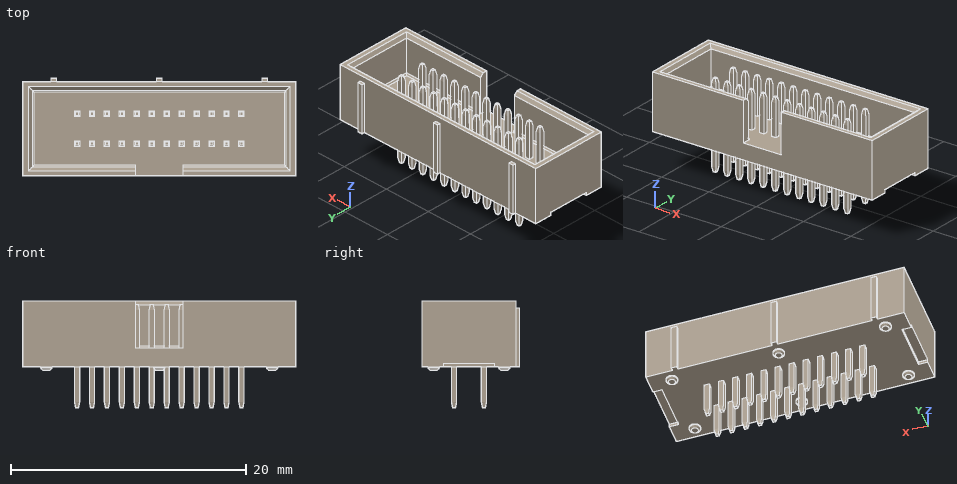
import cadquery as cq

body_length = 23.24
body_width = 8.0
body_height = 5.6
end_wall = 0.83
side_wall = 0.75
floor_top = 1.6
rim_chamfer = 0.33
floor_chamfer = 0.15

key_slot_width = 4.0

notch_width = 4.3
notch_height = 0.3
notch_depth = end_wall

rib_width = 0.5
rib_depth = 0.3
rib_height = 5.0
rib_pitch = 8.97

foot_diameter = 1.0
foot_height = 0.3
foot_chamfer = 0.2
foot_pitch_x = 9.6
foot_pitch_y = 6.0

pins_per_row = 12
pin_pitch = 1.27
row_pitch = 2.54
pin_size = 0.46
pin_tip_size = 0.26
pin_taper = 0.5
pin_bottom = -3.5
pin_top = 5.3

cavity_length = body_length - 2 * end_wall
cavity_width = body_width - 2 * side_wall


def frustum(length, width, z_start, height, growth):
    """Rectangular frustum whose sides move outward by growth over its height."""
    return (
        cq.Workplane("XY", origin=(0, 0, z_start))
        .rect(length, width)
        .workplane(offset=height)
        .rect(length + 2 * growth, width + 2 * growth)
        .loft(ruled=True)
    )


def make_cavity():
    """Space inside the walls, with the floor chamfer and the rim chamfer."""
    straight = (
        cq.Workplane("XY", origin=(0, 0, floor_top))
        .box(cavity_length, cavity_width, body_height - floor_top, centered=(True, True, False))
        .faces("<Z")
        .edges()
        .chamfer(floor_chamfer)
    )
    mouth = frustum(cavity_length, cavity_width, body_height - rim_chamfer, rim_chamfer, rim_chamfer)
    return straight.union(mouth)


def make_key_slot():
    """Cutter that opens the -Y wall from the floor up to the rim."""
    slot_depth = side_wall + floor_chamfer
    slot_y = -(body_width - slot_depth) / 2
    return cq.Workplane("XY", origin=(0, slot_y, floor_top)).box(
        key_slot_width, slot_depth, body_height - floor_top, centered=(True, True, False)
    )


def make_end_notches():
    """Cutters for the notches at both ends of the underside."""
    return (
        cq.Workplane("XY")
        .rarray(body_length - notch_depth, 1, 2, 1)
        .rect(notch_depth, notch_width)
        .extrude(notch_height)
    )


def make_housing():
    """Block with the cavity, key slot and end notches removed."""
    block = cq.Workplane("XY").box(body_length, body_width, body_height, centered=(True, True, False))
    return block.cut(make_cavity()).cut(make_key_slot()).cut(make_end_notches())


def make_ribs():
    """Three upright ribs, each rooted inside the +Y wall."""
    root_y = (body_width - side_wall) / 2
    depth = body_width / 2 + rib_depth - root_y
    return (
        cq.Workplane("XY")
        .pushPoints([(step * rib_pitch, root_y + depth / 2) for step in (-1, 0, 1)])
        .rect(rib_width, depth)
        .extrude(rib_height)
    )


def make_feet():
    """Two rows of three feet, chamfered at the lower end."""
    return (
        cq.Workplane("XY")
        .rarray(foot_pitch_x, foot_pitch_y, 3, 2)
        .circle(foot_diameter / 2)
        .extrude(-foot_height)
        .faces("<Z")
        .edges()
        .chamfer(foot_chamfer)
    )


def make_pin():
    """Square post tapered at both ends."""
    growth = (pin_size - pin_tip_size) / 2
    shank_bottom = pin_bottom + pin_taper
    shank_top = pin_top - pin_taper
    shank = cq.Workplane("XY", origin=(0, 0, shank_bottom)).box(
        pin_size, pin_size, shank_top - shank_bottom, centered=(True, True, False)
    )
    lower_tip = frustum(pin_tip_size, pin_tip_size, pin_bottom, pin_taper, growth)
    upper_tip = frustum(pin_size, pin_size, shank_top, pin_taper, -growth)
    return shank.union(lower_tip).union(upper_tip)


result = make_housing().union(make_ribs()).union(make_feet())

pin = make_pin()
for column in range(pins_per_row):
    pin_x = (column - (pins_per_row - 1) / 2) * pin_pitch
    for pin_y in (-row_pitch / 2, row_pitch / 2):
        result = result.union(pin.translate((pin_x, pin_y, 0)))